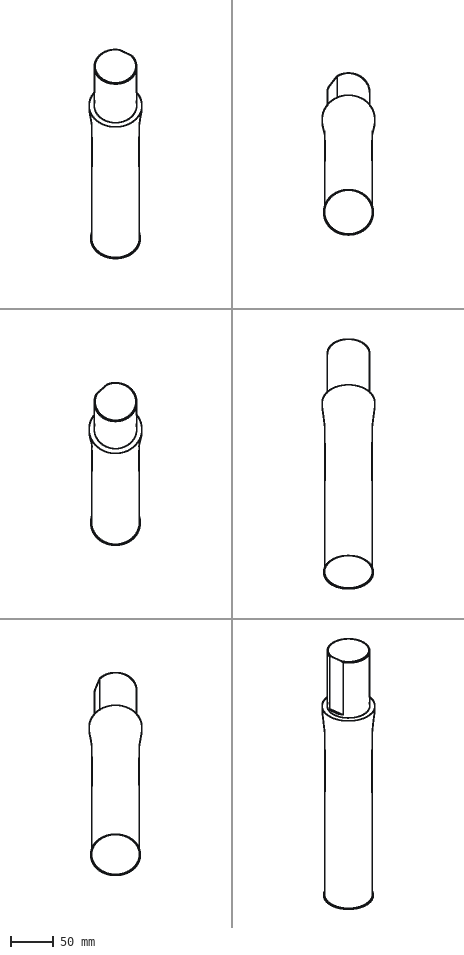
import cadquery as cq

total_height = 353.0
collar_top = 273.2
collar_band_height = 5.5
taper_bottom = 237.0
waist_top = 232.5
waist_bottom = 142.0
step_top = 26.5
step_bottom = 23.3
rim_top = 3.2
rim_bottom = 2.5

rod_diameter = 50.0
collar_diameter = 62.5
sleeve_diameter = 56.5
barrel_diameter = 56.0
waist_diameter = 55.8
rim_diameter = 58.5

rod_chamfer = 1.0
flat_offset = 23.0
flat_start_height = 4.0


def make_handle():
    """Turned handle: flared collar, slightly waisted grip and domed base."""
    rim_radius = rim_diameter / 2
    collar_radius = collar_diameter / 2
    sleeve_radius = sleeve_diameter / 2
    barrel_radius = barrel_diameter / 2
    waist_middle = (waist_top + waist_bottom) / 2
    dome_radius = (rim_radius**2 + rim_bottom**2) / (2 * rim_bottom)
    dome_mid_radius = rim_radius / 2
    dome_mid_height = dome_radius - (dome_radius**2 - dome_mid_radius**2) ** 0.5

    return (
        cq.Workplane("XZ")
        .moveTo(0, 0)
        .threePointArc((dome_mid_radius, dome_mid_height), (rim_radius, rim_bottom))
        .lineTo(sleeve_radius, rim_top)
        .lineTo(sleeve_radius, step_bottom)
        .lineTo(barrel_radius, step_top)
        .lineTo(barrel_radius, waist_bottom)
        .threePointArc((waist_diameter / 2, waist_middle), (sleeve_radius, waist_top))
        .lineTo(sleeve_radius, taper_bottom)
        .lineTo(collar_radius, collar_top - collar_band_height)
        .lineTo(collar_radius, collar_top)
        .lineTo(0, collar_top)
        .close()
        .revolve(360, (0, 0, 0), (0, 1, 0))
    )


def make_rod():
    """Round rod standing on the collar, with a long flat on its +Y side."""
    rod_length = total_height - collar_top
    rod = (
        cq.Workplane("XY")
        .workplane(offset=collar_top)
        .circle(rod_diameter / 2)
        .extrude(rod_length)
        .faces(">Z")
        .chamfer(rod_chamfer)
    )
    flat_cutter = (
        cq.Workplane("XY")
        .workplane(offset=collar_top + flat_start_height)
        .center(0, flat_offset + rod_diameter / 2)
        .rect(rod_diameter, rod_diameter)
        .extrude(rod_length)
    )
    return rod.cut(flat_cutter)


handle = make_handle()
rod = make_rod()

result = cq.Compound.makeCompound([handle.val(), rod.val()])